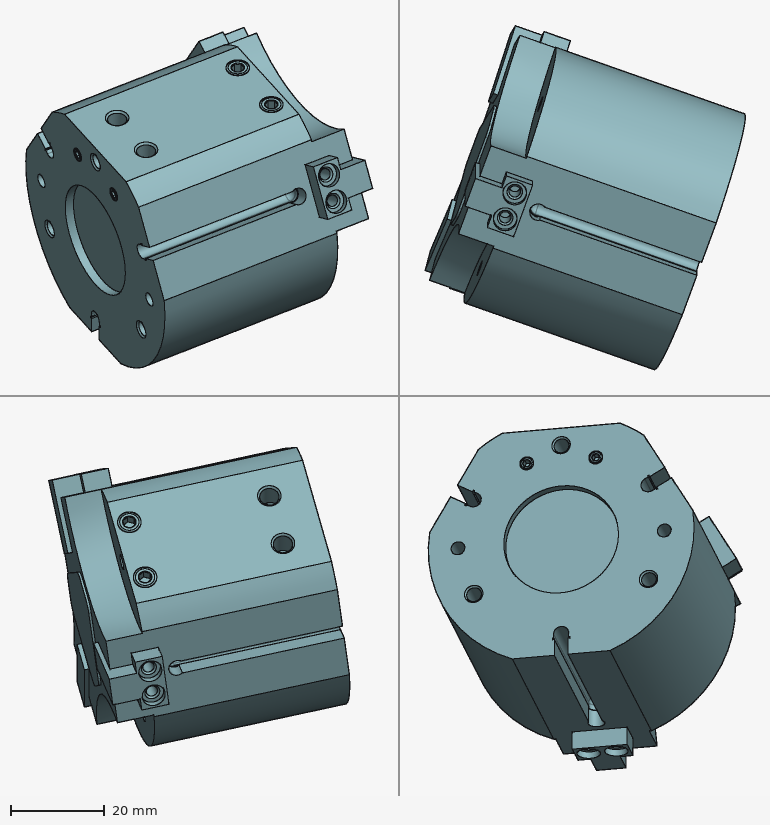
import cadquery as cq
import math

JAW_COUNT = 3
STATION_ANGLES = [i * 360 / JAW_COUNT for i in range(JAW_COUNT)]
COS_30 = math.cos(math.radians(30))

OVERALL_WIDTH = 59.7
OVERALL_DEPTH = 52.0

HOUSING_RADIUS = 29.0
HOUSING_DEPTH = 51.0
JAW_FLAT = 27.0
TOP_FLAT = 26.0
SCALLOP_START = 43
SCALLOP_CENTRE = 44.9
RECESS_DIAMETER = 25.0
RECESS_DEPTH = 2.0

COVER_TOP = 51.5
COVER_SIDE = 10.7
COVER_CORNER = 13.95
COVER_FILLET = 3

MOUNT_CIRCLE_RADIUS = 22.0
MOUNT_DIAMETER = 3.2
MOUNT_CHAMFER_DIAMETER = 4.0
DOWEL_OFFSET = 22.5
DOWEL_DIAMETER = 3
DOWEL_DEPTH = 5.95

PORT_OFFSET = 6.0
PORT_Y = 9.0
PORT_DIAMETER = 4.1
PORT_CHAMFER_DIAMETER = 5.0
PORT_TIP_Z = 18.15
DRILL_TIP_ANGLE = 118
PASSAGE_OFFSET = 7.5
PASSAGE_Z = 18.5
PASSAGE_DIAMETER = 2.45

FRONT_SCREW_DIAMETER = 3
FRONT_SCREW_CROWN = PASSAGE_DIAMETER
FRONT_SCREW_LENGTH = 3
FRONT_SCREW_SOCKET = 1.5
TOP_SCREW_DIAMETER = PORT_CHAMFER_DIAMETER
TOP_SCREW_CROWN = PORT_DIAMETER
TOP_SCREW_LENGTH = 4.0
TOP_SCREW_SOCKET = 2.5
TOP_SCREW_OFFSET = 7.0
TOP_SCREW_Y = 39.6
SCREW_BEVEL_HEIGHT = 0.2
SOCKET_DEPTH_RATIO = 0.6

SLOT_WIDTH = 3
SLOT_CHANNEL_WIDTH = 3.3
SLOT_CHANNEL_CENTRE = 22.0
SLOT_LEDGE = 23.2
SLOT_END_Y = 36.6
SLOT_ENTRY_DIAMETER = 3.6
SLOT_UNDERCUT_WIDTH = 3.8
SLOT_UNDERCUT_HEIGHT = 0.3

JAW_WIDTH = 12.0
JAW_FRONT = 40
JAW_STEP = 45.95
JAW_SEAT = 20.9
JAW_FINGER_WIDTH = 6.45
JAW_FINGER_INNER = 15.0
JAW_REACH = (OVERALL_WIDTH / 2 - JAW_WIDTH / 4) / COS_30
JAW_HOLE_SPACING = 6.0
JAW_HOLE_DIAMETER = 2.45
JAW_HOLE_CHAMFER_DIAMETER = 3.3
JAW_BORE_DIAMETER = 5.0
JAW_BORE_DEPTH = 1.5
JAW_HOLE_DEPTH = 7.15


def turned(shape, angle):
    """Shape turned about the gripper axis."""
    return shape.rotate((0, 0, 0), (0, 1, 0), angle)


def box(x_size, y_range, z_range):
    """Box centred on x = 0 that spans the given Y and Z ranges."""
    return (
        cq.Workplane("XY")
        .box(x_size, y_range[1] - y_range[0], z_range[1] - z_range[0], centered=(True, False, False))
        .translate((0, y_range[0], z_range[0]))
    )


def y_rod(diameter, x, z, start, end):
    """Cylinder along Y."""
    solid = cq.Solid.makeCylinder(diameter / 2, end - start, cq.Vector(x, start, z), cq.Vector(0, 1, 0))
    return cq.Workplane(solid)


def z_rod(diameter, x, y, bottom, top):
    """Cylinder along Z."""
    solid = cq.Solid.makeCylinder(diameter / 2, top - bottom, cq.Vector(x, y, bottom))
    return cq.Workplane(solid)


def countersink(mouth_diameter, end_diameter, mouth, direction):
    """45-degree cone that narrows from its mouth along the direction."""
    depth = (mouth_diameter - end_diameter) / 2
    solid = cq.Solid.makeCone(
        mouth_diameter / 2, end_diameter / 2, depth, cq.Vector(*mouth), cq.Vector(*direction)
    )
    return cq.Workplane(solid)


def housing_blank():
    """Round bar with three jaw flats, a top flat and scallops between the jaws at the rear."""
    blank = y_rod(2 * HOUSING_RADIUS, 0, 0, 0, HOUSING_DEPTH)
    outside = 2 * HOUSING_RADIUS
    jaw_flat_cutter = box(outside, (0, HOUSING_DEPTH), (-outside, -JAW_FLAT))
    scallop_cutter = y_rod(2 * HOUSING_RADIUS, 0, SCALLOP_CENTRE, SCALLOP_START, HOUSING_DEPTH)
    for angle in STATION_ANGLES:
        blank = blank.cut(turned(jaw_flat_cutter, angle))
        blank = blank.cut(turned(scallop_cutter, angle))
    return blank.cut(box(outside, (0, HOUSING_DEPTH), (TOP_FLAT, outside)))


def cover_boss():
    """Low rounded boss on the rear face between the jaw fingers."""
    span = 2 * COVER_CORNER
    y_range = (HOUSING_DEPTH, COVER_TOP)
    boss = box(2 * span, y_range, (-span, span))
    for angle in STATION_ANGLES:
        boss = boss.cut(turned(box(4 * span, y_range, (-3 * span, -COVER_SIDE)), angle))
        boss = boss.cut(turned(box(4 * span, y_range, (COVER_CORNER, 3 * span)), angle))
    return boss.edges("|Y").fillet(COVER_FILLET)


def mounting_hole():
    """Through hole at the top of the mounting circle, countersunk at the front."""
    hole = y_rod(MOUNT_DIAMETER, 0, MOUNT_CIRCLE_RADIUS, 0, HOUSING_DEPTH)
    sink = countersink(MOUNT_CHAMFER_DIAMETER, MOUNT_DIAMETER, (0, 0, MOUNT_CIRCLE_RADIUS), (0, 1, 0))
    return hole.union(sink)


def sensor_slot():
    """Keyhole slot along the bottom flat with a round entry at its rear end."""
    floor = y_rod(SLOT_CHANNEL_WIDTH, 0, -SLOT_CHANNEL_CENTRE, 0, SLOT_END_Y)
    channel = box(SLOT_CHANNEL_WIDTH, (0, SLOT_END_Y), (-SLOT_LEDGE, -SLOT_CHANNEL_CENTRE))
    undercut = box(SLOT_UNDERCUT_WIDTH, (0, SLOT_END_Y), (-SLOT_LEDGE, SLOT_UNDERCUT_HEIGHT - SLOT_LEDGE))
    mouth = box(SLOT_WIDTH, (0, SLOT_END_Y), (-HOUSING_RADIUS, -SLOT_LEDGE))
    ball_end = cq.Workplane("XY").sphere(SLOT_CHANNEL_WIDTH / 2)
    ball_end = ball_end.translate((0, SLOT_END_Y, -SLOT_CHANNEL_CENTRE))
    channel_end = z_rod(SLOT_CHANNEL_WIDTH, 0, SLOT_END_Y, -SLOT_LEDGE, -SLOT_CHANNEL_CENTRE)
    entry = z_rod(SLOT_ENTRY_DIAMETER, 0, SLOT_END_Y, -HOUSING_RADIUS, -SLOT_LEDGE)
    slot = floor.union(channel).union(undercut).union(mouth)
    return slot.union(ball_end).union(channel_end).union(entry)


def air_port(side):
    """Countersunk port with a drill-point bottom, and its passage to the front face."""
    x = side * PORT_OFFSET
    tip_height = PORT_DIAMETER / 2 / math.tan(math.radians(DRILL_TIP_ANGLE / 2))
    tip_base = PORT_TIP_Z + tip_height
    bore = z_rod(PORT_DIAMETER, x, PORT_Y, tip_base, TOP_FLAT)
    tip_mouth = cq.Vector(x, PORT_Y, tip_base)
    tip = cq.Solid.makeCone(PORT_DIAMETER / 2, 0, tip_height, tip_mouth, cq.Vector(0, 0, -1))
    sink = countersink(PORT_CHAMFER_DIAMETER, PORT_DIAMETER, (x, PORT_Y, TOP_FLAT), (0, 0, -1))
    passage = y_rod(PASSAGE_DIAMETER, side * PASSAGE_OFFSET, PASSAGE_Z, 0, PORT_Y)
    return bore.union(cq.Workplane(tip)).union(sink).union(passage)


def jaw_block():
    """Block of the bottom jaw from its seat to its outer face."""
    return box(JAW_WIDTH, (JAW_FRONT, JAW_STEP), (-JAW_REACH, -JAW_SEAT))


def make_housing():
    """Housing with all its holes, slots and screw seats."""
    body = housing_blank().union(cover_boss())
    body = body.cut(y_rod(RECESS_DIAMETER, 0, 0, 0, RECESS_DEPTH))
    for angle in STATION_ANGLES:
        body = body.cut(turned(mounting_hole(), angle))
        body = body.cut(turned(sensor_slot(), angle))
        body = body.cut(turned(jaw_block(), angle))
    for side in (-1, 1):
        body = body.cut(y_rod(DOWEL_DIAMETER, side * DOWEL_OFFSET, 0, 0, DOWEL_DEPTH))
        body = body.cut(air_port(side))
        front_seat = y_rod(FRONT_SCREW_DIAMETER, side * PASSAGE_OFFSET, PASSAGE_Z, 0, FRONT_SCREW_LENGTH)
        seat_floor = TOP_FLAT - TOP_SCREW_LENGTH
        top_seat = z_rod(TOP_SCREW_DIAMETER, side * TOP_SCREW_OFFSET, TOP_SCREW_Y, seat_floor, TOP_FLAT)
        body = body.cut(front_seat).cut(top_seat)
    return body


def make_jaw(angle):
    """Jaw block seated in a housing flat, with a finger that reaches over the rear face."""
    stem = box(JAW_FINGER_WIDTH, (JAW_STEP, OVERALL_DEPTH), (-JAW_REACH, -JAW_FLAT))
    finger = box(JAW_FINGER_WIDTH, (HOUSING_DEPTH, OVERALL_DEPTH), (-JAW_REACH, -JAW_FINGER_INNER))
    jaw = jaw_block().union(stem).union(finger)
    y = (JAW_FRONT + JAW_STEP) / 2
    bore_floor = JAW_REACH - JAW_BORE_DEPTH
    hole_end = JAW_REACH - JAW_HOLE_DEPTH
    for side in (-1, 1):
        x = side * JAW_HOLE_SPACING / 2
        jaw = jaw.cut(z_rod(JAW_BORE_DIAMETER, x, y, -JAW_REACH, -bore_floor))
        jaw = jaw.cut(z_rod(JAW_HOLE_DIAMETER, x, y, -JAW_REACH, -hole_end))
        jaw = jaw.cut(
            countersink(JAW_HOLE_CHAMFER_DIAMETER, JAW_HOLE_DIAMETER, (x, y, -bore_floor), (0, 0, 1))
        )
    return turned(jaw, angle)


def make_screw(diameter, crown_diameter, length, socket_width):
    """Set screw that hangs down from z = 0, with a bevelled crown and a countersunk hexagon socket."""
    screw = cq.Workplane("XY").circle(diameter / 2).extrude(-length)
    screw = screw.faces(">Z").edges().chamfer(SCREW_BEVEL_HEIGHT, (diameter - crown_diameter) / 2)
    socket = cq.Workplane("XY").polygon(6, socket_width / COS_30).extrude(-SOCKET_DEPTH_RATIO * length)
    mouth = countersink(socket_width / COS_30, socket_width, (0, 0, 0), (0, 0, -1))
    return screw.cut(socket).cut(mouth)


def make_front_screw(side):
    """Set screw flush with the front face."""
    screw = make_screw(FRONT_SCREW_DIAMETER, FRONT_SCREW_CROWN, FRONT_SCREW_LENGTH, FRONT_SCREW_SOCKET)
    return screw.rotate((0, 0, 0), (1, 0, 0), 90).translate((side * PASSAGE_OFFSET, 0, PASSAGE_Z))


def make_top_screw(side):
    """Set screw flush with the top flat."""
    screw = make_screw(TOP_SCREW_DIAMETER, TOP_SCREW_CROWN, TOP_SCREW_LENGTH, TOP_SCREW_SOCKET)
    return screw.translate((side * TOP_SCREW_OFFSET, TOP_SCREW_Y, TOP_FLAT))


housing = make_housing()
jaws = [make_jaw(angle) for angle in STATION_ANGLES]
front_screws = [make_front_screw(side) for side in (-1, 1)]
top_screws = [make_top_screw(side) for side in (-1, 1)]

bodies = [housing, *jaws, *front_screws, *top_screws]
result = cq.Compound.makeCompound([body.solids().val() for body in bodies])